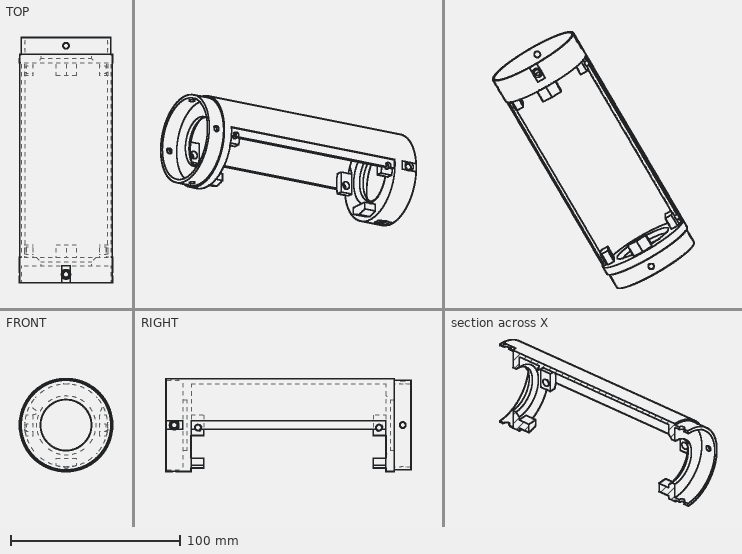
import cadquery as cq

total_length = 145.0
outer_dia = 55.0
inner_dia = 49.0
end_plate_thickness = 5.0
end_plate_chamfer = end_plate_thickness / 2
end_plate_hole_dia = 30.0

joint_length = 10.0
joint_dia = 53.0

opening_start = joint_length + end_plate_thickness
opening_end = total_length - joint_length - end_plate_thickness
opening_length = opening_end - opening_start
cover_seat_dia = 53.0
lap_height = 2.5

tab_length = 7.5
tab_half_width = 6.2
tab_inner_radius = 19.5
tab_shoulder_radius = 23.7
tab_peak_radius = 25.5
tab_angles = (0, 90, 180)

screw_dia = 3.4
countersink_dia = 5.6
tab_bore_dia = 4.5
tab_bore_depth = 4.0
cover_screw_z = -1.5
cover_screw_inset = 4.0
joint_sides = 4

pad_width = 5.0


def cylinder_y(diameter, start, length):
    """Solid cylinder around the Y axis."""
    return cq.Workplane("XZ", origin=(0, start, 0)).circle(diameter / 2).extrude(-length)


def turned(shape, angle):
    """Copy of a shape turned about the Y axis."""
    return shape.rotate((0, 0, 0), (0, 1, 0), angle)


def end_plate_chamfers():
    """Cones that chamfer the plate holes on the sides facing each other."""
    hole_radius = end_plate_hole_dia / 2
    mouth_radius = hole_radius + end_plate_chamfer
    profile = [
        (0, opening_start - end_plate_chamfer),
        (hole_radius, opening_start - end_plate_chamfer),
        (mouth_radius, opening_start),
        (mouth_radius, opening_end),
        (hole_radius, opening_end + end_plate_chamfer),
        (0, opening_end + end_plate_chamfer),
    ]
    return cq.Workplane("XY").polyline(profile).close().revolve(360, (0, 0, 0), (0, 1, 0))


def tube_body():
    """Tube with a reduced plug, a socket and two pierced end plates."""
    body_length = total_length - joint_length
    body = cylinder_y(outer_dia, 0, body_length)
    body = body.union(cylinder_y(joint_dia, body_length, joint_length))
    body = body.cut(cylinder_y(joint_dia, 0, joint_length))
    body = body.cut(cylinder_y(inner_dia, opening_start, opening_length))
    body = body.cut(cylinder_y(inner_dia, body_length, joint_length))
    body = body.cut(cylinder_y(end_plate_hole_dia, 0, total_length))
    return body.cut(end_plate_chamfers())


def opening_box(width, bottom, top):
    """Box along the opening, centred on X = 0, between two Z levels."""
    mid_y = (opening_start + opening_end) / 2
    return cq.Workplane("XY", origin=(0, mid_y, (bottom + top) / 2)).box(width, opening_length, top - bottom)


def opening_cut():
    """Lower half of the tube, leaving a thinned lip along each side for the cover to lap over."""
    lower_half = opening_box(2 * outer_dia, -outer_dia, lap_height)
    seat = cylinder_y(cover_seat_dia, opening_start, opening_length)
    round_lip = seat.intersect(opening_box(cover_seat_dia, -lap_height, 0))
    straight_lip = opening_box(cover_seat_dia, 0, lap_height)
    return lower_half.cut(round_lip).cut(straight_lip)


def cover_tab(start):
    """Tab on the +X side with a shallow ridged outer face."""
    profile = [
        (tab_inner_radius, -tab_half_width),
        (tab_shoulder_radius, -tab_half_width),
        (tab_peak_radius, 0),
        (tab_shoulder_radius, tab_half_width),
        (tab_inner_radius, tab_half_width),
    ]
    return cq.Workplane("XZ", origin=(0, start, 0)).polyline(profile).close().extrude(-tab_length)


def cross_hole(diameter, length, y, z):
    """Hole along X, centred on the YZ plane."""
    return (
        cq.Workplane("YZ", origin=(0, y, z))
        .circle(diameter / 2)
        .extrude(length / 2, both=True)
    )


def socket_pad():
    """Flat pad on the +X side, tangent to the tube and sunk halfway into the socket wall."""
    pad_thickness = (outer_dia - joint_dia) / 4
    return (
        cq.Workplane("XY", origin=(outer_dia / 2 - pad_thickness, 0, 0))
        .box(pad_thickness, joint_length, pad_width, centered=(False, False, True))
    )


def socket_countersink(y):
    """Right-angled cone on the +X side, running through the thin socket wall."""
    depth = (countersink_dia - screw_dia) / 2
    return (
        cq.Workplane("YZ", origin=(outer_dia / 2, y, 0))
        .circle(countersink_dia / 2)
        .workplane(offset=-depth)
        .circle(screw_dia / 2)
        .loft()
    )


result = tube_body().cut(opening_cut())

tab_starts = (opening_start, opening_end - tab_length)
for tab_start in tab_starts:
    for tab_angle in tab_angles:
        result = result.union(turned(cover_tab(tab_start), tab_angle))

cover_screw_places = (opening_start + cover_screw_inset, opening_end - cover_screw_inset)
tab_bore_span = 2 * (tab_inner_radius + tab_bore_depth)
for cover_screw_y in cover_screw_places:
    result = result.cut(cross_hole(screw_dia, outer_dia, cover_screw_y, cover_screw_z))
    result = result.cut(cross_hole(tab_bore_dia, tab_bore_span, cover_screw_y, cover_screw_z))

socket_hole_y = joint_length / 2
plug_hole_y = total_length - joint_length / 2
for side in range(joint_sides):
    side_angle = side * 360 / joint_sides
    result = result.union(turned(socket_pad(), side_angle))
    result = result.cut(turned(socket_countersink(socket_hole_y), side_angle))
    result = result.cut(turned(cross_hole(screw_dia, outer_dia, socket_hole_y, 0), side_angle))
    result = result.cut(turned(cross_hole(screw_dia, outer_dia, plug_hole_y, 0), side_angle))